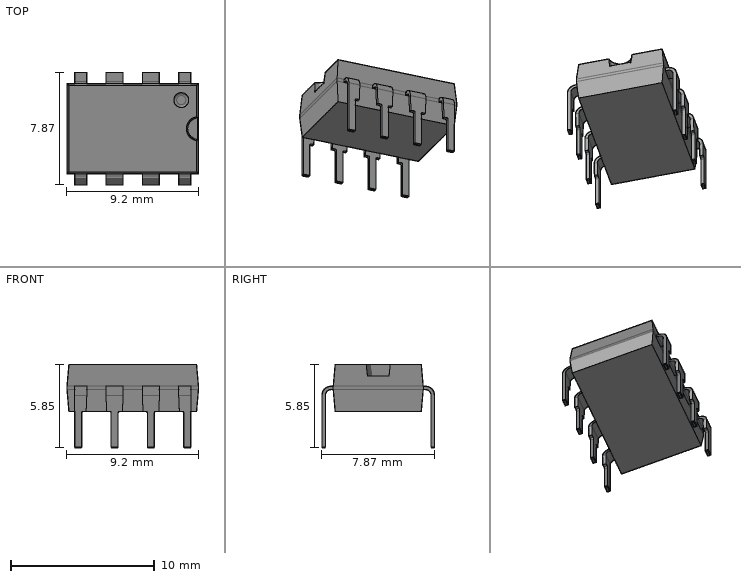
import cadquery as cq
import math


BODY_LENGTH = 9.2
BODY_WIDTH = 6.3
BODY_HEIGHT = 3.3
BODY_DRAFT = 5.0
LEAD_THICKNESS = 0.25
BODY_TOP = BODY_HEIGHT / 2
BODY_BOTTOM = -BODY_HEIGHT / 2
BAND_TOP = LEAD_THICKNESS / 2
BAND_BOTTOM = -LEAD_THICKNESS / 2

NOTCH_RADIUS = 0.85
NOTCH_DEPTH = 0.8
NOTCH_DRAFT = 6.5

DIMPLE_X = 3.39
DIMPLE_Y = 2.0
DIMPLE_RADIUS = 0.52
DIMPLE_DEPTH = 0.2
DIMPLE_FLOOR_RADIUS = DIMPLE_RADIUS - DIMPLE_DEPTH

LEADS_PER_SIDE = 4
LEAD_PITCH = 2.54
LEAD_SPAN = 7.87
BEND_OUTER_RADIUS = 0.635
PIN_WIDTH = 0.5
PIN_LENGTH = 2.55
SHOULDER_WIDTH = 1.2
SHOULDER_DRAFT = 2.5
STEP_FILLET = 0.1
TIP_CHAMFER = 0.06
LEAD_EMBED = 0.3

LEAD_OUTER_Y = LEAD_SPAN / 2
LEAD_INNER_Y = LEAD_OUTER_Y - LEAD_THICKNESS
LEAD_ROOT_Y = BODY_WIDTH / 2 - LEAD_EMBED
BEND_CENTRE_Y = LEAD_OUTER_Y - BEND_OUTER_RADIUS
BEND_CENTRE_Z = BAND_TOP - BEND_OUTER_RADIUS
BEND_INNER_RADIUS = BEND_OUTER_RADIUS - LEAD_THICKNESS
PIN_TIP = BODY_BOTTOM - PIN_LENGTH

ARC_MID = math.sqrt(0.5)


def make_body():
    half_height = BODY_TOP - BAND_TOP
    band = cq.Workplane("XY").box(BODY_LENGTH, BODY_WIDTH, LEAD_THICKNESS)
    upper = (
        cq.Workplane("XY", origin=(0, 0, BAND_TOP))
        .rect(BODY_LENGTH, BODY_WIDTH)
        .extrude(half_height, taper=BODY_DRAFT)
    )
    lower = upper.mirror("XY")
    return band.union(upper).union(lower)


def make_notch():
    return (
        cq.Workplane("XY", origin=(BODY_LENGTH / 2, 0, BODY_TOP))
        .circle(NOTCH_RADIUS)
        .extrude(-NOTCH_DEPTH, taper=NOTCH_DRAFT)
    )


def make_dimple():
    return (
        cq.Workplane("XZ")
        .moveTo(0, 0)
        .lineTo(DIMPLE_RADIUS, 0)
        .threePointArc(
            (DIMPLE_FLOOR_RADIUS + DIMPLE_DEPTH * ARC_MID, -DIMPLE_DEPTH * ARC_MID),
            (DIMPLE_FLOOR_RADIUS, -DIMPLE_DEPTH),
        )
        .lineTo(0, -DIMPLE_DEPTH)
        .close()
        .revolve(360, (0, 0), (0, 1))
        .translate((DIMPLE_X, DIMPLE_Y, BODY_TOP))
    )


def lead_strip():
    return (
        cq.Workplane("YZ")
        .moveTo(LEAD_ROOT_Y, BAND_TOP)
        .lineTo(BEND_CENTRE_Y, BAND_TOP)
        .threePointArc(
            (BEND_CENTRE_Y + BEND_OUTER_RADIUS * ARC_MID, BEND_CENTRE_Z + BEND_OUTER_RADIUS * ARC_MID),
            (LEAD_OUTER_Y, BEND_CENTRE_Z),
        )
        .lineTo(LEAD_OUTER_Y, PIN_TIP)
        .lineTo(LEAD_INNER_Y, PIN_TIP)
        .lineTo(LEAD_INNER_Y, BEND_CENTRE_Z)
        .threePointArc(
            (BEND_CENTRE_Y + BEND_INNER_RADIUS * ARC_MID, BEND_CENTRE_Z + BEND_INNER_RADIUS * ARC_MID),
            (BEND_CENTRE_Y, BAND_BOTTOM),
        )
        .lineTo(LEAD_ROOT_Y, BAND_BOTTOM)
        .close()
        .extrude(SHOULDER_WIDTH, both=True)
    )


def half_outline(side, has_shoulder):
    pin_edge = side * PIN_WIDTH / 2
    outline = (
        cq.Workplane("XZ", origin=(0, LEAD_SPAN, 0))
        .moveTo(0, PIN_TIP)
        .lineTo(pin_edge, PIN_TIP)
    )
    if not has_shoulder:
        return outline.lineTo(pin_edge, BAND_TOP).lineTo(0, BAND_TOP).close().extrude(LEAD_SPAN)

    taper_height = BEND_CENTRE_Z - BODY_BOTTOM
    taper_run = taper_height * math.tan(math.radians(SHOULDER_DRAFT))
    shoulder_edge = side * SHOULDER_WIDTH / 2
    fillet_mid = STEP_FILLET * (1 - ARC_MID)
    return (
        outline
        .lineTo(pin_edge, BODY_BOTTOM - STEP_FILLET)
        .threePointArc(
            (pin_edge + side * fillet_mid, BODY_BOTTOM - fillet_mid),
            (pin_edge + side * STEP_FILLET, BODY_BOTTOM),
        )
        .lineTo(shoulder_edge - side * taper_run, BODY_BOTTOM)
        .lineTo(shoulder_edge, BEND_CENTRE_Z)
        .lineTo(shoulder_edge, BAND_TOP)
        .lineTo(0, BAND_TOP)
        .close()
        .extrude(LEAD_SPAN)
    )


def make_lead(left_shoulder, right_shoulder):
    outline = half_outline(-1, left_shoulder).union(half_outline(1, right_shoulder))
    lead = lead_strip().intersect(outline)
    return lead.faces("<Z").chamfer(TIP_CHAMFER)


def make_leads():
    row = cq.Workplane("XY")
    for index in range(LEADS_PER_SIDE):
        lead_x = (index - (LEADS_PER_SIDE - 1) / 2) * LEAD_PITCH
        is_first = index == 0
        is_last = index == LEADS_PER_SIDE - 1
        row = row.add(make_lead(not is_first, not is_last).translate((lead_x, 0, 0)))
    row = row.combine()
    return row.union(row.mirror("XZ"))


body = make_body().cut(make_notch()).cut(make_dimple())
result = body.union(make_leads())